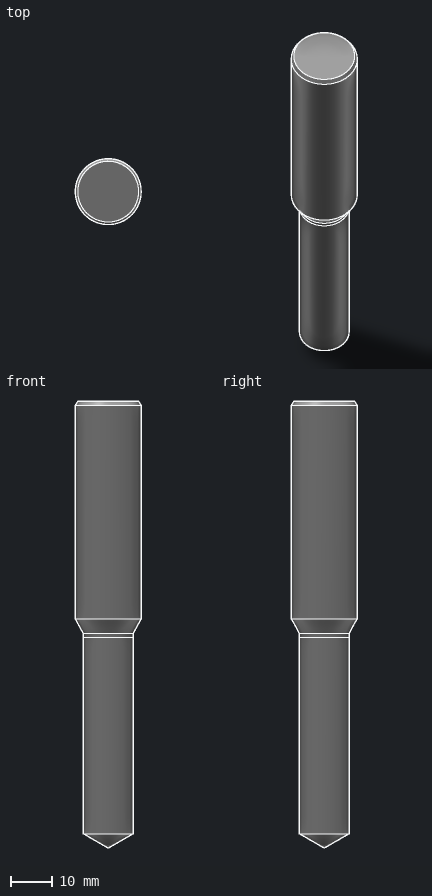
import cadquery as cq
import math

total_length = 108.0
shank_radius = 8.0
drill_radius = 6.0

point_angle = 120.0
point_height = drill_radius / math.tan(math.radians(point_angle / 2))

cutting_top = 50.9
neck_top = 51.8
shoulder_top = 55.4

chamfer_height = 1.1
chamfer_width = 0.6


def make_cutting_part():
    """Cylindrical cutting part ending in a conical point at the origin."""
    profile = (
        cq.Workplane("XZ")
        .moveTo(0, 0)
        .lineTo(drill_radius, point_height)
        .lineTo(drill_radius, cutting_top)
        .lineTo(0, cutting_top)
        .close()
    )
    return profile.revolve(360, (0, 0, 0), (0, 1, 0))


def make_shank():
    """Short neck, conical shoulder and shank with a chamfered end."""
    profile = (
        cq.Workplane("XZ")
        .moveTo(0, cutting_top)
        .lineTo(drill_radius, cutting_top)
        .lineTo(drill_radius, neck_top)
        .lineTo(shank_radius, shoulder_top)
        .lineTo(shank_radius, total_length - chamfer_height)
        .lineTo(shank_radius - chamfer_width, total_length)
        .lineTo(0, total_length)
        .close()
    )
    return profile.revolve(360, (0, 0, 0), (0, 1, 0))


cutting_part = make_cutting_part()
shank = make_shank()

result = cq.Compound.makeCompound([cutting_part.val(), shank.val()])